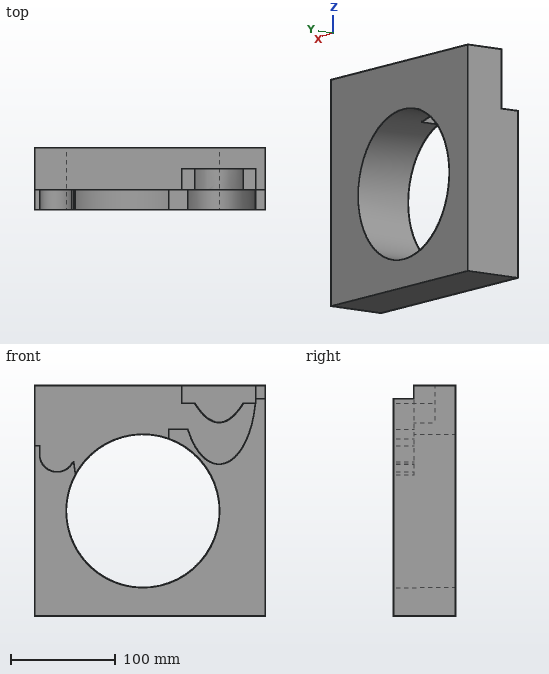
import cadquery as cq

SIDE = 219.96
DEPTH = 59.5
FRONT_DEPTH = 19.5
MIDDLE_DEPTH = 20.0

BORE_RADIUS = 73.0
BORE_X = 103.2
BORE_Z = 100.3

LEFT_LEDGE_Z = 162.3
LEFT_NOTCH_X = 21.4
LEFT_NOTCH_BOTTOM_Z = 137.5
LEFT_NOTCH_RADIUS = 16.7
LEFT_STEP_X = 35.3
LEFT_STEP_HEIGHT = 0.5
LEFT_PEAK_X = 37.2
LEFT_PEAK_Z = 147.0
BORE_LIP_X = 38.9

SCALLOP_X = 175.8
SCALLOP_BOTTOM_Z = 144.9
SCALLOP_HALF_WIDTH = 35.2
SCALLOP_HALF_HEIGHT = 70.6
SHELF_LEFT_X = 128.0
SHELF_Z = 178.3
RIGHT_WALL_X = 211.0
RIGHT_LEDGE_Z = 207.5

POCKET_LEFT_X = 140.3
POCKET_FLOOR_Z = 203.1
DIP_X = 175.8
DIP_HALF_WIDTH = 23.3
DIP_BOTTOM_Z = 184.5


def extrude_back(outline, depth):
    """Close an XZ outline and extrude it from the front face toward +Y."""
    return outline.close().extrude(-depth)


def circle_height(x, center_x, center_z, radius, sign):
    """Height of a circle at x, on its upper (+1) or lower (-1) half."""
    return center_z + sign * (radius**2 - (x - center_x) ** 2) ** 0.5


def make_scallop():
    """Elliptical hollow of the front layer, running out through the top."""
    center_z = SCALLOP_BOTTOM_Z + SCALLOP_HALF_HEIGHT
    return (
        cq.Workplane("XZ")
        .center(SCALLOP_X, center_z)
        .ellipse(SCALLOP_HALF_WIDTH, SCALLOP_HALF_HEIGHT)
        .extrude(-FRONT_DEPTH)
    )


def make_front_recess():
    """Material removed from the front layer, above its notched profile."""
    notch_center_z = LEFT_NOTCH_BOTTOM_Z + LEFT_NOTCH_RADIUS
    notch_wall_x = LEFT_NOTCH_X - LEFT_NOTCH_RADIUS
    step_z = circle_height(LEFT_STEP_X, LEFT_NOTCH_X, notch_center_z, LEFT_NOTCH_RADIUS, -1)
    lip_z = circle_height(BORE_LIP_X, BORE_X, BORE_Z, BORE_RADIUS, 1)
    shelf_foot_z = circle_height(SHELF_LEFT_X, BORE_X, BORE_Z, BORE_RADIUS, 1)

    outline = (
        cq.Workplane("XZ")
        .moveTo(0, SIDE)
        .lineTo(0, LEFT_LEDGE_Z)
        .lineTo(notch_wall_x, LEFT_LEDGE_Z)
        .lineTo(notch_wall_x, notch_center_z)
        .threePointArc((LEFT_NOTCH_X, LEFT_NOTCH_BOTTOM_Z), (LEFT_STEP_X, step_z))
        .lineTo(LEFT_STEP_X, step_z + LEFT_STEP_HEIGHT)
        .lineTo(LEFT_PEAK_X, LEFT_PEAK_Z)
        .lineTo(BORE_LIP_X, lip_z)
        .lineTo(SHELF_LEFT_X, shelf_foot_z)
        .lineTo(SHELF_LEFT_X, SHELF_Z)
        .lineTo(SCALLOP_X, SHELF_Z)
        .lineTo(SCALLOP_X, RIGHT_LEDGE_Z)
        .lineTo(SIDE, RIGHT_LEDGE_Z)
        .lineTo(SIDE, SIDE)
    )
    return extrude_back(outline, FRONT_DEPTH)


def make_top_pocket():
    """Pocket open at the front and top, with a curved dip in its floor."""
    outline = (
        cq.Workplane("XZ")
        .moveTo(POCKET_LEFT_X, SIDE)
        .lineTo(POCKET_LEFT_X, POCKET_FLOOR_Z)
        .lineTo(DIP_X - DIP_HALF_WIDTH, POCKET_FLOOR_Z)
        .spline([(DIP_X, DIP_BOTTOM_Z), (DIP_X + DIP_HALF_WIDTH, POCKET_FLOOR_Z)], includeCurrent=True)
        .lineTo(RIGHT_WALL_X, POCKET_FLOOR_Z)
        .lineTo(RIGHT_WALL_X, SIDE)
    )
    return extrude_back(outline, FRONT_DEPTH + MIDDLE_DEPTH)


def make_bore():
    """Round hole running through the full depth."""
    return cq.Workplane("XZ").center(BORE_X, BORE_Z).circle(BORE_RADIUS).extrude(-DEPTH)


block = cq.Workplane("XY").box(SIDE, DEPTH, SIDE, centered=False)
front_recess = make_front_recess().union(make_scallop())
result = block.cut(make_bore()).cut(front_recess).cut(make_top_pocket())